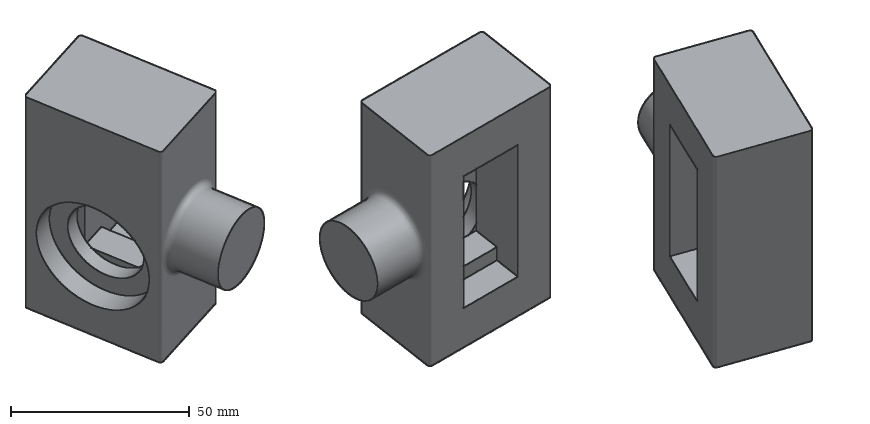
import cadquery as cq

BLOCK_WIDTH = 45.0
BLOCK_DEPTH = 30.0
BLOCK_HEIGHT = 80.0
EDGE_RADIUS = 1.0

SPIGOT_DIAMETER = 25.0
SPIGOT_LENGTH = 17.0
SPIGOT_ROOT_RADIUS = 2.0

BORE_CENTRE_Z = -10.0
BORE_DIAMETER = 25.0
BORE_LAND = 5.0
COUNTERBORE_DIAMETER = 37.0
COUNTERBORE_DEPTH = 7.0

CHAMBER_WIDTH = 20.0
CHAMBER_HEIGHT = 40.0
BACK_SLOT_HEIGHT = 50.0
BACK_SLOT_DEPTH = 9.0

FRONT_Y = -BLOCK_DEPTH / 2
SIDE_X = BLOCK_WIDTH / 2
BORE_DEPTH = COUNTERBORE_DEPTH + BORE_LAND


def make_body():
    """Block and spigot, with the spigot root filleted before the vertical edges are rounded."""
    block = cq.Workplane("XY").box(BLOCK_WIDTH, BLOCK_DEPTH, BLOCK_HEIGHT)
    spigot = cq.Workplane("YZ", origin=(SIDE_X, 0, 0)).circle(SPIGOT_DIAMETER / 2).extrude(SPIGOT_LENGTH)
    body = block.union(spigot)
    body = body.edges("%CIRCLE").edges("<X").fillet(SPIGOT_ROOT_RADIUS)
    return body.edges("|Z").fillet(EDGE_RADIUS)


def make_front_bore(diameter, depth):
    """Round cutter reaching the given depth behind the -Y face."""
    start = cq.Workplane("XZ", origin=(0, FRONT_Y, BORE_CENTRE_Z))
    return start.circle(diameter / 2).extrude(-depth)


def make_rectangular_pocket(height, start_depth):
    """Rectangular cutter from the given depth behind the -Y face through to the +Y face."""
    start = cq.Workplane("XZ", origin=(0, FRONT_Y + start_depth, 0))
    return start.rect(CHAMBER_WIDTH, height).extrude(start_depth - BLOCK_DEPTH)


result = (
    make_body()
    .cut(make_front_bore(COUNTERBORE_DIAMETER, COUNTERBORE_DEPTH))
    .cut(make_front_bore(BORE_DIAMETER, BORE_DEPTH))
    .cut(make_rectangular_pocket(CHAMBER_HEIGHT, BORE_DEPTH))
    .cut(make_rectangular_pocket(BACK_SLOT_HEIGHT, BLOCK_DEPTH - BACK_SLOT_DEPTH))
)